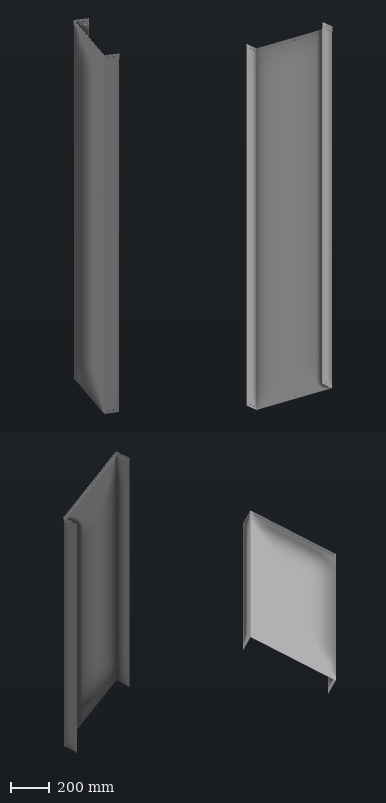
import cadquery as cq

width = 502.0
depth = 82.0
height = 1999.0
sheet = 1.0
offset = 1.2
lip_height = 30.0
step_height = 1.0
hole_diameter = 7.0
hole_end_distance = 15.0
first_side_hole = 22.0
side_hole_spacing = 30.0

side_hole_depths = (first_side_hole, first_side_hole + side_hole_spacing)
step_top = height - lip_height
step_bottom = step_top - step_height


def channel_block(inset):
    """Solid prism with a stepped top, inset from the outer skin of the sheet."""
    half_lip = width / 2 - inset
    half_body = half_lip - offset
    lip_front = inset
    body_front = inset + offset

    def outline(half, front):
        return [(-half, front), (half, front), (half, depth), (-half, depth)]

    body_outline = outline(half_body, body_front)
    lip_outline = outline(half_lip, lip_front)
    body = cq.Workplane("XY").polyline(body_outline).close().extrude(step_bottom)
    slope = (
        cq.Workplane("XY", origin=(0, 0, step_bottom))
        .polyline(body_outline).close()
        .workplane(offset=step_height)
        .polyline(lip_outline).close()
        .loft(ruled=True)
    )
    lip = (
        cq.Workplane("XY", origin=(0, 0, step_top))
        .polyline(lip_outline).close()
        .extrude(lip_height)
    )
    return body.union(slope).union(lip)


def folded_sheet():
    """Three-sided channel, open at the back and at both ends."""
    return channel_block(0).cut(channel_block(sheet))


def side_holes(z):
    """Pair of holes through both side flanges."""
    return (
        cq.Workplane("YZ")
        .pushPoints([(y, z) for y in side_hole_depths])
        .circle(hole_diameter / 2)
        .extrude(width, both=True)
    )


def front_hole(z):
    """Hole through the middle of the front face."""
    return cq.Workplane("XZ").center(0, z).circle(hole_diameter / 2).extrude(depth, both=True)


result = folded_sheet()
for hole_z in (hole_end_distance, height - hole_end_distance):
    result = result.cut(side_holes(hole_z)).cut(front_hole(hole_z))